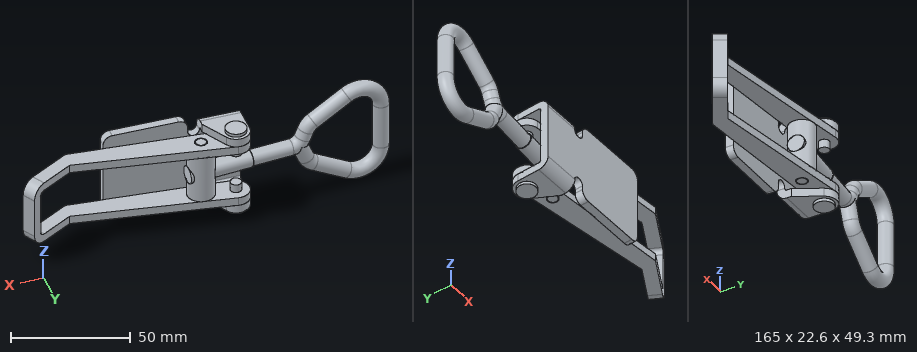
import cadquery as cq
import math


sheet = 4.0

bend_radius_outer = 5.0
bend_radius_inner = bend_radius_outer - sheet
ear_outer_z = 19.3
ear_inner_z = ear_outer_z - sheet
eye_radius = 6.1
ear_back_x = 12.0
ear_slope_angle = 30
plate_end_x = 54.5
plate_half_height = 20.3
plate_corner_radius = 4.0
notch_width = 5.1
notch_floor_z = 11.7

rivet_y = 16.0
rivet_shank_radius = 2.5
rivet_head_radius = 4.6
rivet_head_height = 1.5
rivet_inner_z = 7.5

lever_outer_z = ear_inner_z
lever_inner_z = lever_outer_z - sheet
lever_knee_x = 71.1
lever_knee_y = 3.6
lever_under_angle = 5
lever_top_angle = 8.5
grip_angle = 30
grip_width = 6.5
grip_length = 26.7
strip_bend_outer = 6.1
strip_bend_inner = strip_bend_outer - sheet

trunnion_x = 14.7
trunnion_y = 13.9
barrel_radius = 6.1
countersink_radius = 5.3
journal_radius = 2.3
journal_hole_radius = 2.6

hook_tilt = 5.2
wire_radius = 3.6
thread_radius = 4.0
thread_start_u = -22.5
rod_end_u = barrel_radius
loop_height = 49.3
loop_bar_u = -82.2
loop_bar_half_length = 10.5
loop_corner_radius = loop_height / 2 - loop_bar_half_length - wire_radius
arm_angle = 30
arm_length = 17.8
neck_angle = 67
shoulder_radius = 7.5
rod_bend_radius = 6.1
lower_end_z = 1.0


def on_circle(center, radius, angle):
    """Point of a circle at an angle in degrees."""
    a = math.radians(angle)
    return (center[0] + radius * math.cos(a), center[1] + radius * math.sin(a))


def moved(point, length, angle):
    """Point reached from another by a length along an angle in degrees."""
    return on_circle(point, length, angle)


def along_z(half_length):
    """Work plane in which sketches are XY and extrude up from -half_length."""
    return cq.Workplane("XY").workplane(offset=-half_length)


def cylinder_z(x, y, radius, z_low, z_high):
    """Cylinder along Z between two heights."""
    return cq.Workplane("XY").workplane(offset=z_low).center(x, y).circle(radius).extrude(z_high - z_low)


def make_bracket():
    front_x = -eye_radius
    ear_length = ear_back_x - front_x

    def channel_block(y_low, half_height, radius):
        block = cq.Workplane("XY").box(
            ear_length, 2 * eye_radius + rivet_y, 2 * half_height, centered=(False, False, True)
        )
        return block.translate((front_x, y_low, 0)).edges("|X and <Y").fillet(radius)

    channel = channel_block(0, ear_outer_z, bend_radius_outer)
    channel = channel.cut(channel_block(sheet, ear_inner_z, bend_radius_inner))

    eye = (0, rivet_y)
    slope = math.radians(ear_slope_angle)
    slope_end_y = rivet_y + (eye_radius - ear_back_x * math.cos(slope)) / math.sin(slope)
    outline = (
        along_z(ear_outer_z)
        .moveTo(front_x, 0)
        .lineTo(ear_back_x, 0)
        .lineTo(ear_back_x, slope_end_y)
        .lineTo(*on_circle(eye, eye_radius, ear_slope_angle))
        .threePointArc(on_circle(eye, eye_radius, 105), (front_x, rivet_y))
        .close()
        .extrude(2 * ear_outer_z)
    )
    channel = channel.intersect(outline)

    notch_radius = notch_width / 2
    neck_height = 2 * (notch_floor_z + notch_radius)
    plate_start_x = ear_back_x + notch_width
    plate = (
        cq.Workplane("XY")
        .box(plate_end_x - plate_start_x, sheet, 2 * plate_half_height, centered=(False, False, True))
        .translate((plate_start_x, 0, 0))
        .edges("|Y")
        .fillet(plate_corner_radius)
    )
    neck = (
        cq.Workplane("XY")
        .box(notch_width, sheet, neck_height, centered=(False, False, True))
        .translate((ear_back_x, 0, 0))
    )
    bracket = channel.union(neck).union(plate)
    for side in (-1, 1):
        notch = (
            cq.Workplane("XZ")
            .center(ear_back_x + notch_radius, side * neck_height / 2)
            .circle(notch_radius)
            .extrude(-sheet)
        )
        bracket = bracket.cut(notch)
    return bracket.cut(cylinder_z(0, rivet_y, rivet_shank_radius, -ear_outer_z, ear_outer_z))


def make_rivet(side):
    """Rivet through one ear and one lever arm; side is +1 (upper) or -1 (lower)."""
    shank = cylinder_z(0, rivet_y, rivet_shank_radius, rivet_inner_z, ear_outer_z)
    head = cylinder_z(0, rivet_y, rivet_head_radius, ear_outer_z, ear_outer_z + rivet_head_height)
    rivet = shank.union(head)
    return rivet if side > 0 else rivet.mirror("XY")


def make_lever():
    eye = (0, rivet_y)
    knee = (lever_knee_x, lever_knee_y)
    under_tangent = on_circle(eye, eye_radius, -90 - lever_under_angle)
    top_tangent = on_circle(eye, eye_radius, 90 - lever_top_angle)

    grip_under_end = moved(knee, grip_length, grip_angle)
    grip_top_end = moved(grip_under_end, grip_width, grip_angle + 90)

    top_slope = -math.tan(math.radians(lever_top_angle))
    grip_slope = math.tan(math.radians(grip_angle))
    corner_x = (
        top_tangent[1] - top_slope * top_tangent[0] - grip_top_end[1] + grip_slope * grip_top_end[0]
    ) / (grip_slope - top_slope)
    corner_y = top_tangent[1] + top_slope * (corner_x - top_tangent[0])

    profile = (
        along_z(lever_outer_z)
        .moveTo(*under_tangent)
        .lineTo(*knee)
        .lineTo(*grip_under_end)
        .lineTo(*grip_top_end)
        .lineTo(corner_x, corner_y)
        .lineTo(*top_tangent)
        .threePointArc(on_circle(eye, eye_radius, 180), under_tangent)
        .close()
        .extrude(2 * lever_outer_z)
    )

    def end_block(half_height, end_inset, radius):
        length = 2 * plate_end_x
        block = (
            cq.Workplane("XY")
            .box(length, length, 2 * half_height)
            .translate((grip_length - end_inset - length / 2, 0, 0))
            .edges("|Y and >X")
            .fillet(radius)
        )
        return block.rotate((0, 0, 0), (0, 0, 1), grip_angle).translate((*knee, 0))

    lever = profile.intersect(end_block(lever_outer_z, 0, strip_bend_outer))
    lever = lever.cut(end_block(lever_inner_z, sheet, strip_bend_inner))
    lever = lever.cut(cylinder_z(0, rivet_y, rivet_shank_radius, -lever_outer_z, lever_outer_z))
    return lever.cut(cylinder_z(trunnion_x, trunnion_y, journal_hole_radius, -lever_outer_z, lever_outer_z))


def place_on_trunnion(shape):
    """Move a shape from the hook frame (u, v, z) to its tilted place."""
    return shape.rotate((0, 0, 0), (0, 0, 1), hook_tilt).translate((trunnion_x, trunnion_y, 0))


def rod_cylinder(radius, start_u, end_u):
    """Cylinder along the hook's rod axis."""
    return cq.Workplane("YZ").workplane(offset=start_u).circle(radius).extrude(end_u - start_u)


def make_trunnion():
    barrel = cylinder_z(trunnion_x, trunnion_y, barrel_radius, -lever_inner_z, lever_inner_z)
    journals = cylinder_z(trunnion_x, trunnion_y, journal_radius, -lever_outer_z, lever_outer_z)
    bore = (
        cq.Workplane("XY")
        .moveTo(-barrel_radius, 0)
        .lineTo(-barrel_radius, countersink_radius)
        .lineTo(-barrel_radius + countersink_radius - thread_radius, thread_radius)
        .lineTo(barrel_radius, thread_radius)
        .lineTo(barrel_radius, 0)
        .close()
        .revolve(360, (0, 0, 0), (1, 0, 0))
    )
    return barrel.union(journals).cut(place_on_trunnion(bore))


def make_hook():
    corner_center = (loop_bar_u + loop_corner_radius, loop_bar_half_length)
    arm_start = on_circle(corner_center, loop_corner_radius, 90 - arm_angle)
    arm_end = moved(arm_start, arm_length, -arm_angle)
    shoulder_center = moved(arm_end, shoulder_radius, -90 - arm_angle)
    neck_start = on_circle(shoulder_center, shoulder_radius, 90 - neck_angle)
    neck = math.radians(neck_angle)
    neck_end_z = rod_bend_radius * (1 - math.cos(neck))
    neck_end = moved(neck_start, (neck_start[1] - neck_end_z) / math.sin(neck), -neck_angle)
    rod_bend_center = (neck_end[0] + rod_bend_radius * math.sin(neck), rod_bend_radius)
    rod_bend_middle = on_circle(rod_bend_center, rod_bend_radius, -90 - neck_angle / 2)
    rod_bend_end = (rod_bend_center[0], 0)

    def half_loop():
        return (
            cq.Workplane("XZ")
            .moveTo(loop_bar_u, 0)
            .lineTo(loop_bar_u, loop_bar_half_length)
            .threePointArc(on_circle(corner_center, loop_corner_radius, 135 - arm_angle / 2), arm_start)
            .lineTo(*arm_end)
            .threePointArc(on_circle(shoulder_center, shoulder_radius, 90 - (arm_angle + neck_angle) / 2), neck_start)
        )

    def wire_along(path):
        return cq.Workplane("XY").center(loop_bar_u, 0).circle(wire_radius).sweep(path)

    upper = wire_along(
        half_loop()
        .lineTo(*neck_end)
        .threePointArc(rod_bend_middle, rod_bend_end)
        .lineTo(thread_start_u, 0)
    )
    neck_rise = (neck_start[1] + lower_end_z) / math.sin(neck)
    lower = wire_along(half_loop().lineTo(*moved(neck_start, neck_rise, -neck_angle))).mirror("XY")

    thread = rod_cylinder(thread_radius, thread_start_u, rod_end_u)
    return place_on_trunnion(upper.union(lower).union(thread))


bracket = make_bracket()
lever = make_lever()
trunnion = make_trunnion()
hook = make_hook()
rivets = [make_rivet(side).val() for side in (-1, 1)]

result = cq.Compound.makeCompound([bracket.val(), lever.val(), trunnion.val(), hook.val(), *rivets])